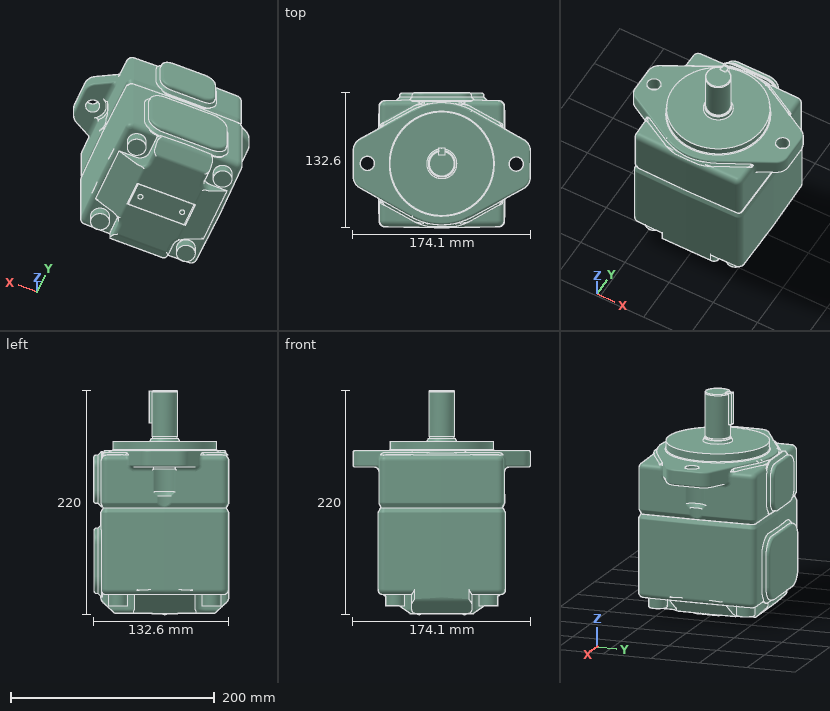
import cadquery as cq
import math


shaft_radius = 12.7
shaft_top = 58.7
shaft_edge = 1.2
key_width = 6.35
key_length = 32.0
key_crest = 15.4
key_floor = 8.7
key_inset = 0.3
relief_depth = 0.5
relief_width = 1.6
collar_base_radius = 14.7
collar_top_radius = 13.2
collar_top = 11.9

pilot_radius = 50.8
pilot_top = 8.9
pilot_foot_radius = 51.6
pilot_foot_height = 0.9

flange_thickness = 16.4
flange_length = 174.0
flange_arc_radius = 60.0
flange_slope = 29.0
flange_corner_radius = 13.0
flange_edge = 2.0
flange_twist = -0.25
bolt_spacing = 146.0
bolt_hole_diameter = 13.7
web_fillet = 4.5

spot_radius = 15.3
spot_fillet = 2.0
spot_mouth_fillet = 2.5
spot_bottom = -40.5
lower_spot_radius = 13.0
lower_spot_top = -44.5

side_bulge = 1.0
front_half_width = 61.9
rear_half_width = 62.6
half_depth = 62.9
corner_radius = 6.0
front_top = -4.4
seam = -56.4
seam_taper_height = 4.5
seam_depth = 2.4
seam_fillet = 2.0
shoulder = -141.5
shoulder_fillet = 5.0

skirt_width = 3.0
skirt_top = -1.9

boss_bottom = -159.9
boss_root = -125.0
boss_arm_half_width = 29.5
boss_arm_fillet = 4.5
boss_end_half_width = 31.0
boss_side_slope_top = -138.0
boss_side_fillet = 6.0
boss_end_fillet = 8.0
boss_edge = 4.0
boss_end_half_depth = 49.0
boss_slope_top = -147.0
pocket_corner_radius = 10.0

cover_bolt_offset = 45.8
cover_bolt_diameter = 18.4
cover_bolt_bottom = -152.4

plate_length = 62.0
plate_width = 25.0
plate_thickness = 0.5
rivet_spacing = 44.6
rivet_radius = 2.5
part_bottom = shaft_top - 220.0

front_pad = dict(half_width=29.0, top=front_top, bottom=-52.0, face=69.73, radius=12.0)
rear_pad = dict(half_width=41.4, top=-76.0, bottom=-140.4, face=69.4, radius=16.0)
pad_edge = 2.5
pad_flare = 3.5


def block_outline(half_width, z):
    """Square outline whose four sides each bend outward at the middle."""
    x_corner = half_width - side_bulge
    y_corner = half_depth - side_bulge
    points = [
        (half_width, 0),
        (x_corner, y_corner),
        (0, half_depth),
        (-x_corner, y_corner),
        (-half_width, 0),
        (-x_corner, -y_corner),
        (0, -half_depth),
        (x_corner, -y_corner),
    ]
    return cq.Workplane("XY").workplane(offset=z).polyline(points).close()


def block(half_width, bottom, top):
    solid = block_outline(half_width, bottom).extrude(top - bottom)
    for side_x in (-1, 1):
        for side_y in (-1, 1):
            corner = cq.selectors.BoxSelector(
                (side_x * (half_width - 3), side_y * (half_depth - 3), bottom - 1),
                (side_x * (half_width + 3), side_y * (half_depth + 3), top + 1),
            )
            solid = solid.edges("|Z").edges(corner).fillet(corner_radius)
    return solid


def taper_toward_seam(body, seam_face, rim_height, *chamfer_legs):
    """Narrows the end of a block at the seam and rounds the rim where the taper starts."""
    body = body.faces(seam_face).edges().chamfer(*chamfer_legs)
    rim = cq.selectors.BoxSelector((-100, -100, rim_height - 0.1), (100, 100, rim_height + 0.1))
    return body.edges(rim).fillet(seam_fillet)


def flange_outline(z, offset=0.0):
    """Arcs about the shaft joined by tangent lines to two square ends."""
    radius = flange_arc_radius + offset
    end = flange_length / 2 + offset
    slope = math.radians(flange_slope)
    tangent_x = radius * math.sin(slope)
    tangent_y = radius * math.cos(slope)
    end_y = (radius - end * math.sin(slope)) / math.cos(slope)
    return (
        cq.Workplane("XY")
        .workplane(offset=z)
        .moveTo(tangent_x, tangent_y)
        .threePointArc((0, radius), (-tangent_x, tangent_y))
        .lineTo(-end, end_y)
        .lineTo(-end, -end_y)
        .lineTo(-tangent_x, -tangent_y)
        .threePointArc((0, -radius), (tangent_x, -tangent_y))
        .lineTo(end, -end_y)
        .lineTo(end, end_y)
        .close()
    )


def make_flange():
    flange = flange_outline(-flange_thickness).extrude(flange_thickness)
    end_corners = cq.selectors.BoxSelector((-300, -40, -100), (-80, 40, 100))
    end_corners += cq.selectors.BoxSelector((80, -40, -100), (300, 40, 100))
    flange = flange.edges("|Z").edges(end_corners).fillet(flange_corner_radius)
    flange = flange.faces("<Z or >Z").edges().fillet(flange_edge)
    return flange.rotate((0, 0, 0), (0, 0, 1), flange_twist)


def make_front_block():
    """Front block blended into the mounting flange."""
    body = block(front_half_width, seam, front_top)
    body = taper_toward_seam(body, "<Z", seam + seam_taper_height, seam_depth, seam_taper_height)
    skirt_angle = math.degrees(math.atan2(skirt_width, skirt_top - front_top))
    skirt = flange_outline(front_top, skirt_width).extrude(skirt_top - front_top, taper=skirt_angle)
    body = body.faces(">Z").edges().fillet(corner_radius)
    skirt = skirt.intersect(body.translate((0, 0, skirt_top - front_top)))
    body = body.union(make_flange())
    near_x = front_half_width - 1.5
    far_x = front_half_width + 1.5
    web_bottom = -flange_thickness - 1
    web_top = front_top - corner_radius - 0.5
    left_web = cq.selectors.BoxSelector((-far_x, -45, web_bottom), (-near_x, 45, web_top))
    right_web = cq.selectors.BoxSelector((near_x, -45, web_bottom), (far_x, 45, web_top))
    body = body.edges(left_web + right_web).fillet(web_fillet)
    return body.union(skirt)


def cut_bolt_access(body):
    """Through holes in the flange, with room below them for the bolt heads."""
    profile = [
        (0, -flange_thickness),
        (spot_radius - spot_fillet, -flange_thickness),
        (spot_radius, -flange_thickness - spot_fillet),
        (spot_radius, spot_bottom),
        (lower_spot_radius, lower_spot_top),
        (lower_spot_radius, seam),
        (0, seam),
    ]
    access = cq.Workplane("XZ").polyline(profile).close().revolve(360, (0, 0), (0, 1))
    access = access.union(cq.Workplane("XY").circle(bolt_hole_diameter / 2).extrude(-flange_thickness))
    for angle in (0, 180):
        tool = access.translate((bolt_spacing / 2, 0, 0))
        body = body.cut(tool.rotate((0, 0, 0), (0, 0, 1), flange_twist + angle))
    mouth_bottom = seam + 3
    mouth_top = -flange_thickness - 1
    near_x = front_half_width - 1.2
    far_x = front_half_width + 0.7
    left_mouth = cq.selectors.BoxSelector((-far_x, -13, mouth_bottom), (-near_x, 13, mouth_top))
    right_mouth = cq.selectors.BoxSelector((near_x, -13, mouth_bottom), (far_x, 13, mouth_top))
    return body.edges(left_mouth + right_mouth).fillet(spot_mouth_fillet)


def make_boss():
    """Cross-shaped rear boss, sloping inward toward its end face."""
    slab = block(rear_half_width, boss_bottom, boss_root)
    top = boss_root
    side_slope = [
        (-rear_half_width, top),
        (-rear_half_width, boss_side_slope_top),
        (-boss_end_half_width, boss_bottom),
        (boss_end_half_width, boss_bottom),
        (rear_half_width, boss_side_slope_top),
        (rear_half_width, top),
    ]
    end_slope = [
        (-half_depth, top),
        (-half_depth, boss_slope_top),
        (-boss_end_half_depth, boss_bottom),
        (boss_end_half_depth, boss_bottom),
        (half_depth, boss_slope_top),
        (half_depth, top),
    ]
    side_wedge = cq.Workplane("XZ").polyline(side_slope).close().extrude(half_depth, both=True)
    side_bends = cq.selectors.BoxSelector(
        (-2 * rear_half_width, -1, boss_side_slope_top - 1),
        (2 * rear_half_width, 1, boss_side_slope_top + 1),
    )
    side_wedge = side_wedge.edges(side_bends).fillet(boss_side_fillet)
    end_wedge = cq.Workplane("YZ").polyline(end_slope).close().extrude(rear_half_width, both=True)
    end_bends = cq.selectors.BoxSelector(
        (-1, -2 * half_depth, boss_slope_top - 1),
        (1, 2 * half_depth, boss_slope_top + 1),
    )
    end_wedge = end_wedge.edges(end_bends).fillet(boss_end_fillet)
    arm_width = 2 * boss_arm_half_width
    base = cq.Workplane("XY").workplane(offset=boss_bottom)
    end_arms = base.rect(arm_width, 2 * half_depth).extrude(top - boss_bottom)
    side_arms = base.rect(2 * rear_half_width, arm_width).extrude(top - boss_bottom)
    end_arms = end_arms.edges("|Z").fillet(boss_arm_fillet)
    side_arms = side_arms.edges("|Z").fillet(boss_arm_fillet)
    inner_corners = cq.selectors.BoxSelector(
        (-boss_arm_half_width - 1, -boss_arm_half_width - 1, 2 * boss_bottom),
        (boss_arm_half_width + 1, boss_arm_half_width + 1, 0),
    )
    cross = end_arms.union(side_arms).edges("|Z").edges(inner_corners).fillet(pocket_corner_radius)
    boss = cross.intersect(side_wedge).intersect(end_wedge)
    boss = boss.faces("<Z").edges().fillet(boss_edge)
    return boss.intersect(slab)


def make_rear_block():
    body = block(rear_half_width, shoulder, seam)
    body = taper_toward_seam(body, ">Z", seam - seam_taper_height, seam_taper_height, seam_depth)
    body = body.faces("<Z").edges().fillet(shoulder_fillet)
    bolts = (
        cq.Workplane("XY")
        .workplane(offset=cover_bolt_bottom)
        .rect(2 * cover_bolt_offset, 2 * cover_bolt_offset, forConstruction=True)
        .vertices()
        .circle(cover_bolt_diameter / 2)
        .extrude(shoulder - cover_bolt_bottom)
    )
    return body.union(make_boss()).union(bolts)


def make_name_plate():
    """Thin plate on the end face, held by two pointed rivets."""
    plate = (
        cq.Workplane("XY")
        .workplane(offset=boss_bottom)
        .rect(plate_length, plate_width)
        .extrude(-plate_thickness)
    )
    rivet_base = boss_bottom - plate_thickness
    rivet_profile = [(0, rivet_base), (rivet_radius, rivet_base), (0, part_bottom)]
    rivet = cq.Workplane("XZ").polyline(rivet_profile).close().revolve(360, (0, 0), (0, 1))
    for side in (-1, 1):
        plate = plate.union(rivet.translate((side * rivet_spacing / 2, 0, 0)))
    return plate


def make_pad(half_width, top, bottom, face, radius):
    """Rounded port pad with a flared foot on the +Y side."""
    foot = half_depth - side_bulge
    inner = foot - corner_radius
    middle = (top + bottom) / 2
    pad = cq.Workplane("XZ", origin=(0, inner, middle)).rect(2 * half_width, top - bottom).extrude(inner - face)
    pad = pad.edges("|Y").fillet(radius).faces(">Y").edges().fillet(pad_edge)
    flare = (
        cq.Workplane("XZ", origin=(0, foot - side_bulge, middle))
        .rect(2 * (half_width + pad_flare), top - bottom + 2 * pad_flare)
        .extrude(-pad_flare - side_bulge)
        .edges("|Y")
        .fillet(radius + pad_flare)
        .faces(">Y")
        .edges()
        .chamfer(pad_flare)
    )
    return pad.union(flare)


def make_shaft():
    """Pilot, collar, root relief and keyed shaft."""
    profile = [
        (0, 0),
        (pilot_foot_radius, 0),
        (pilot_radius, pilot_foot_height),
        (pilot_radius, pilot_top),
        (collar_base_radius, pilot_top),
        (collar_top_radius, collar_top),
        (shaft_radius - relief_depth, collar_top),
        (shaft_radius - relief_depth, collar_top + relief_width),
        (shaft_radius, collar_top + relief_width),
        (shaft_radius, shaft_top - shaft_edge),
        (shaft_radius - shaft_edge / 2, shaft_top),
        (0, shaft_top),
    ]
    shaft = cq.Workplane("XZ").polyline(profile).close().revolve(360, (0, 0), (0, 1))
    key_centre = (key_crest + key_floor) / 2
    key = (
        cq.Workplane("XY", origin=(0, key_centre, shaft_top))
        .rect(key_width, key_crest - key_floor)
        .extrude(-key_length)
    )
    shaft = shaft.cut(key)
    key = key.intersect(key.translate((0, 0, -key_inset)))
    return shaft.union(key)


result = cut_bolt_access(make_front_block())
result = result.union(make_rear_block())
for pad in (front_pad, rear_pad):
    result = result.union(make_pad(**pad))
result = result.union(make_name_plate()).union(make_shaft())